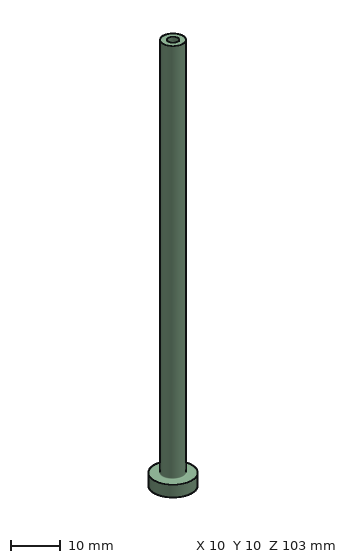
import cadquery as cq

total_length = 103.0
head_diameter = 10.0
head_thickness = 3.0
shank_diameter = 5.3
bore_diameter = 2.5
neck_fillet = 0.2

head = cq.Workplane("XY").circle(head_diameter / 2).extrude(head_thickness)

shank = cq.Workplane("XY").circle(shank_diameter / 2).extrude(total_length)

neck_corner = cq.selectors.BoxSelector(
    (-shank_diameter, -shank_diameter, head_thickness - neck_fillet),
    (shank_diameter, shank_diameter, head_thickness + neck_fillet),
    boundingbox=True,
)
sleeve = head.union(shank)
sleeve = sleeve.edges(neck_corner).edges(cq.selectors.RadiusNthSelector(0)).fillet(neck_fillet)

bore = cq.Workplane("XY").circle(bore_diameter / 2).extrude(total_length)
result = sleeve.cut(bore)